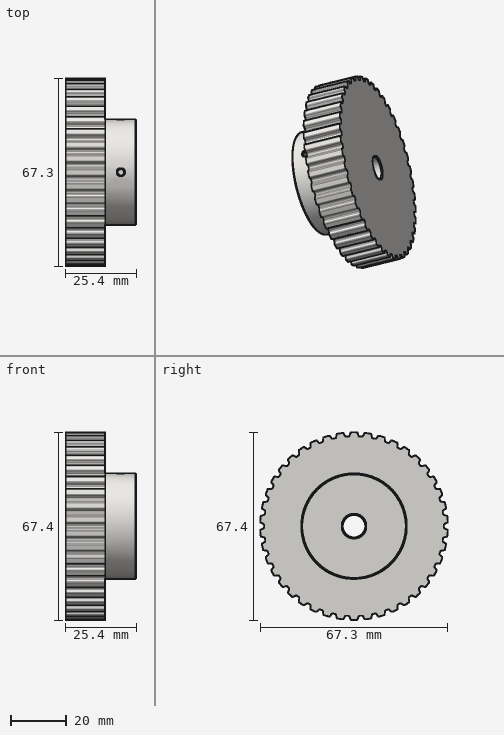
import cadquery as cq
import math

tooth_count = 42
outer_diameter = 67.4
wheel_width = 14.2
groove_depth = 1.4
groove_floor_width = 1.35
groove_wall_angle = 25.0
tooth_rounding = 0.4

overall_length = 25.4
hub_diameter = 38.0
hub_chamfer = 0.5

bore_diameter = 8.0
bore_chamfer = 0.5

screw_hole_diameter = 2.3
screw_countersink_diameter = 3.1

outer_radius = outer_diameter / 2
hub_radius = hub_diameter / 2
hub_length = overall_length - wheel_width
screw_x = wheel_width + hub_length / 2


def polar_point(radius, angle):
    """Point in the YZ plane, with the angle in radians measured from +Z."""
    return (radius * math.sin(angle), radius * math.cos(angle))


def toothed_wheel():
    """Wheel along +X with one tooth centred on +Z."""
    pitch_angle = 2 * math.pi / tooth_count
    root_radius = outer_radius - groove_depth
    mouth_width = groove_floor_width + 2 * groove_depth * math.tan(math.radians(groove_wall_angle))
    tip_half_angle = pitch_angle / 2 - math.asin(mouth_width / 2 / outer_radius)
    root_half_angle = pitch_angle / 2 - math.asin(groove_floor_width / 2 / root_radius)

    outline = cq.Workplane("YZ").moveTo(*polar_point(root_radius, -root_half_angle))
    for tooth in range(tooth_count):
        centre = tooth * pitch_angle
        outline = outline.lineTo(*polar_point(outer_radius, centre - tip_half_angle))
        outline = outline.threePointArc(
            polar_point(outer_radius, centre),
            polar_point(outer_radius, centre + tip_half_angle),
        )
        outline = outline.lineTo(*polar_point(root_radius, centre + root_half_angle))
        if tooth < tooth_count - 1:
            outline = outline.lineTo(*polar_point(root_radius, centre + pitch_angle - root_half_angle))
    wheel = outline.close().extrude(wheel_width)
    return wheel.edges("|X").fillet(tooth_rounding)


def hub():
    """Plain cylinder behind the wheel, chamfered at its free end."""
    cylinder = cq.Workplane("YZ").workplane(offset=wheel_width).circle(hub_radius).extrude(hub_length)
    return cylinder.faces(">X").edges().chamfer(hub_chamfer)


def bore():
    """Through bore with a chamfer at both ends."""
    bore_radius = bore_diameter / 2
    mouth_radius = bore_radius + bore_chamfer
    half_section = [
        (0, 0),
        (0, mouth_radius),
        (bore_chamfer, bore_radius),
        (overall_length - bore_chamfer, bore_radius),
        (overall_length, mouth_radius),
        (overall_length, 0),
    ]
    return cq.Workplane("XY").polyline(half_section).close().revolve(360, (0, 0), (1, 0))


def screw_hole():
    """Countersunk hole from the top of the hub down to the bore axis."""
    hole_radius = screw_hole_diameter / 2
    mouth_radius = screw_countersink_diameter / 2
    countersink_depth = mouth_radius - hole_radius
    half_section = [
        (0, 0),
        (hole_radius, 0),
        (hole_radius, hub_radius - countersink_depth),
        (mouth_radius, hub_radius),
        (0, hub_radius),
    ]
    tool = cq.Workplane("XZ").polyline(half_section).close().revolve(360, (0, 0), (0, 1))
    return tool.translate((screw_x, 0, 0))


top_screw_hole = screw_hole()
side_screw_hole = top_screw_hole.rotate((0, 0, 0), (1, 0, 0), -90)

result = toothed_wheel().union(hub()).cut(bore()).cut(top_screw_hole).cut(side_screw_hole)